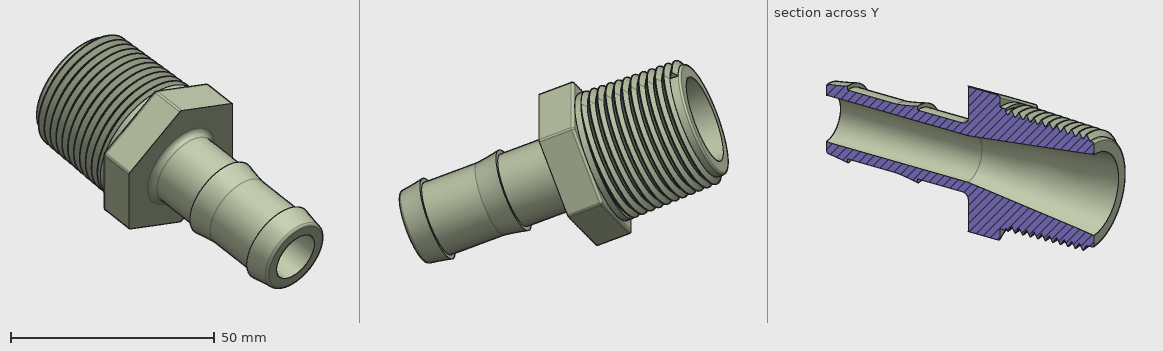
import cadquery as cq
import math

length = 78.5
collar_start = 25.9
hex_start = 27.55
hex_end = 37.0
front_barb_start = 51.65
front_barb_end = 57.8
tip_barb_start = 72.2

thread_start = 1.65
turns_to_collar = 11
thread_turns = turns_to_collar + 1
pitch = (collar_start - thread_start) / turns_to_collar
radial_taper = 1 / 32
root_start_radius = 14.5
crest_start_radius = 16.0
tooth_base_width = 2.1
tooth_crest_width = 0.2
collar_radius = 33.5 / 2
mouth_edge_radius = 0.55

across_flats = 34.8
hex_edge_radius = 0.7

tube_radius = 19.1 / 2
neck_fillet = 1.65
barb_radius = 10.6
barb_sag = 0.1
tip_edge_radius = 0.7

mouth_radius = 11.1
passage_radius = 12.7 / 2
bore_cone_end = hex_end


def turned(profile):
    """Spin an XY half profile around the X axis."""
    return profile.close().revolve(360, (0, 0, 0), (1, 0, 0))


def root_radius(x):
    return root_start_radius + (x - thread_start) * radial_taper


def crest_radius(x):
    return crest_start_radius + (x - thread_start) * radial_taper


def pipe_thread():
    """Solid tapered core with its right-handed thread, built along Z and then turned onto X.

    Each turn is skinned with ruled faces between conical helices, and the faces are sewn.
    The thread runs past the collar plane and is trimmed there.
    """
    skin = cq.Face.makeRuledSurface
    taper_angle = math.atan(radial_taper)
    slant_pitch = pitch / math.cos(taper_angle)
    tooth_corners = [
        (-tooth_base_width / 2, root_radius),
        (-tooth_crest_width / 2, crest_radius),
        (tooth_crest_width / 2, crest_radius),
        (tooth_base_width / 2, root_radius),
    ]

    def helix_turn(x, radius):
        centre = cq.Vector(0, 0, x)
        cone_angle = math.degrees(taper_angle)
        return cq.Wire.makeHelix(slant_pitch, slant_pitch, radius, centre, angle=cone_angle)

    def root_circle(x):
        return cq.Wire.makeCircle(root_radius(x), cq.Vector(0, 0, x), cq.Vector(0, 0, 1))

    def tooth_section(x):
        corners = [cq.Vector(radius(x + offset), 0, x + offset) for offset, radius in tooth_corners]
        return cq.Face.makeFromWires(cq.Wire.makePolygon(corners, close=True))

    thread_end = thread_start + thread_turns * pitch
    front_circle = root_circle(mouth_edge_radius)
    back_circle = root_circle(thread_end + pitch)

    faces = [cq.Face.makeFromWires(front_circle), cq.Face.makeFromWires(back_circle)]
    faces += [tooth_section(thread_start), tooth_section(thread_end)]
    previous_foot = front_circle
    for turn in range(thread_turns):
        turn_start = thread_start + turn * pitch
        corners = [(turn_start + offset, radius) for offset, radius in tooth_corners]
        edges = [helix_turn(x, radius(x)) for x, radius in corners]
        faces.append(skin(previous_foot, edges[0]))
        faces += [skin(left, right) for left, right in zip(edges, edges[1:])]
        previous_foot = edges[-1]
    faces.append(skin(previous_foot, back_circle))

    threaded = cq.Workplane(cq.Solid.makeSolid(cq.Shell.makeShell(faces)))
    threaded = threaded.rotate((0, 0, 0), (1, 1, 1), 120)
    kept_length = cq.Workplane("YZ").circle(across_flats).extrude(collar_start)
    return threaded.intersect(kept_length)


def mouth_ring():
    """Short lead-in with a fully rounded outer edge, ahead of the thread."""
    ring_radius = root_radius(mouth_edge_radius)
    arc_inset = mouth_edge_radius * (1 - math.sqrt(0.5))
    profile = (
        cq.Workplane("XY")
        .lineTo(0, ring_radius - mouth_edge_radius)
        .threePointArc((arc_inset, ring_radius - arc_inset), (mouth_edge_radius, ring_radius))
        .lineTo(mouth_edge_radius, 0)
    )
    return turned(profile)


def collar():
    ring = cq.Workplane("YZ", origin=(collar_start, 0, 0)).circle(collar_radius)
    return ring.extrude(hex_start - collar_start)


def hexagon():
    across_corners = across_flats / math.cos(math.pi / 6)
    block = (
        cq.Workplane("YZ", origin=(hex_start, 0, 0))
        .transformed(rotate=(0, 0, 90))
        .polygon(6, across_corners)
        .extrude(hex_end - hex_start)
    )
    return block.edges("|X").fillet(hex_edge_radius).faces("<X").edges().fillet(hex_edge_radius)


def barb_arc(profile, start, end):
    """Step out to the barb crest, then fall back to the tube along a shallow hollow."""
    middle = ((start + end) / 2, (barb_radius + tube_radius) / 2 - barb_sag)
    return profile.lineTo(start, barb_radius).threePointArc(middle, (end, tube_radius))


def hose_tail():
    neck_end = hex_end + neck_fillet
    neck_arc_offset = neck_fillet * (1 - math.sqrt(0.5))
    profile = (
        cq.Workplane("XY")
        .moveTo(hex_start, 0)
        .lineTo(hex_start, tube_radius + neck_fillet)
        .lineTo(hex_end, tube_radius + neck_fillet)
        .threePointArc(
            (hex_end + neck_arc_offset, tube_radius + neck_arc_offset),
            (neck_end, tube_radius),
        )
        .lineTo(front_barb_start, tube_radius)
    )
    profile = barb_arc(profile, front_barb_start, front_barb_end)
    profile = profile.lineTo(tip_barb_start, tube_radius)
    profile = barb_arc(profile, tip_barb_start, length).lineTo(length, 0)
    return turned(profile).faces(">X").edges().fillet(tip_edge_radius)


def bore():
    profile = (
        cq.Workplane("XY")
        .lineTo(0, mouth_radius)
        .lineTo(bore_cone_end, passage_radius)
        .lineTo(length, passage_radius)
        .lineTo(length, 0)
    )
    return turned(profile)


body = mouth_ring().union(pipe_thread()).union(collar()).union(hexagon()).union(hose_tail())
result = body.cut(bore()).solids()